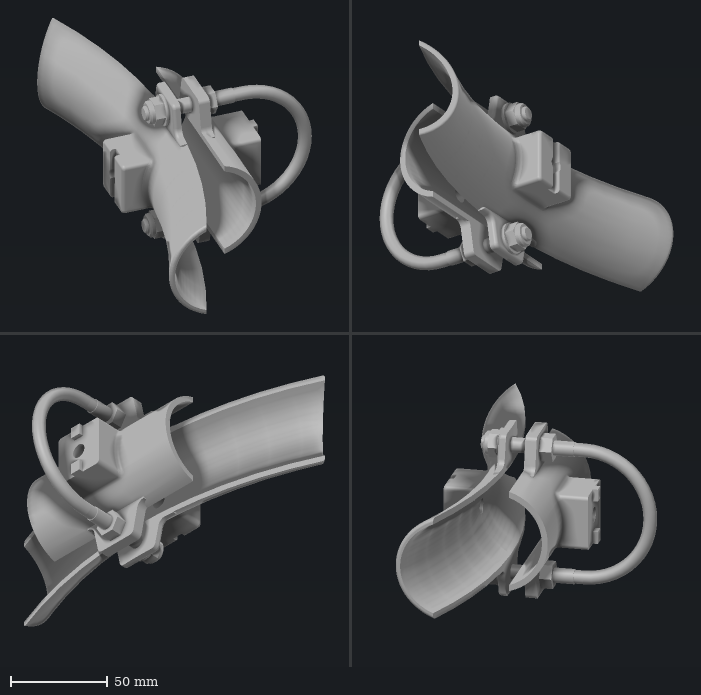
import cadquery as cq
import math

GAP = 10.0
WALL = 3.2

STRAIGHT_LENGTH = 100.0
STRAIGHT_RADIUS = 28.6
STRAIGHT_DEPTH = 20.7

BENT_RADIUS = 29.9
BENT_DEPTH = 19.5
BEND_RADIUS = 271.0
BENT_LEFT = 112.2
BENT_RIGHT = 99.9
MITRE_ANGLE = 42.5
END_FILLET = 1.6

EAR_HEIGHT = 45.0
EAR_TIP_HALF = 12.3
EAR_FLANK_ANGLE = 12.0
EAR_CORNER = 3.0
EAR_ROOT_FILLET = 4.6
STRAIGHT_FOOT_HEIGHT = 26.0
BENT_FOOT_HEIGHT = 28.4
STRAIGHT_EAR_THICKNESS = 6.1
BENT_EAR_THICKNESS = 4.6
STRAIGHT_FOOT_HALF = 20.2
BENT_FOOT_HALF = 24.9
EAR_EDGE_FILLET = 1.8

BLOCK_WIDTH = 29.5
BLOCK_HEIGHT = 30.0
BLOCK_CORNER = 2.4
BLOCK_FOOT_FILLET = 2.4
STRAIGHT_BLOCK_FACE = 38.9
BENT_BLOCK_FACE = -38.5
BLOCK_EDGE_FILLET = 1.8
KEY_WIDTH = 6.0
KEY_HEIGHT = 2.6
KEY_GAP = 16.8
KEYWAY_DEPTH = 3.2
BLOCK_HOLE = 8.2

LEG_OFFSET = 35.2
ROD_DIAMETER = 7.2
THREAD_DIAMETER = 8.0
BEND_CENTER_Y = 33.7
THREAD_START_Y = 28.6
BOLT_END_Y = -21.0
END_CHAMFER = 0.8
NUT_FLATS = 13.0
NUT_HEIGHT = 6.5
WASHER_DIAMETER = 16.8
WASHER_THICKNESS = 1.7
LOCKNUT_HEX = 5.2
LOCKNUT_COLLAR = 2.7
COLLAR_DIAMETER = 12.8
COLLAR_CHAMFER = 1.0

BENT_SWEEP = 60.0
ENVELOPE_FRONT = -100.0
OVERLAP = 1.0
NEAR = 0.1

OPEN_Y = GAP / 2


def trough(radius, depth, face_y, side):
    """Circular segment in the YZ plane, chord on y = face_y, crown towards side * Y."""
    half = math.sqrt(radius**2 - (radius - depth) ** 2)
    return (
        cq.Workplane("YZ")
        .moveTo(face_y, -half)
        .threePointArc((face_y + side * depth, 0), (face_y, half))
        .close()
    )


def straight_body(inset):
    """Solid segment of the straight trough; a positive inset gives its hollow."""
    section = trough(STRAIGHT_RADIUS - inset, STRAIGHT_DEPTH - inset, OPEN_Y, 1)
    return section.extrude(STRAIGHT_LENGTH / 2, both=True)


def bent_body(inset):
    """Segment swept around the Z-parallel bend axis, long enough to be trimmed at both ends."""
    axis_y = -OPEN_Y - BEND_RADIUS
    section = trough(BENT_RADIUS - inset, BENT_DEPTH - inset, -OPEN_Y, -1)
    body = section.revolve(BENT_SWEEP, (axis_y, 0, 0), (axis_y, 1, 0))
    return body.rotate((0, axis_y, 0), (0, axis_y, 1), -BENT_SWEEP / 2)


def bent_envelope():
    """Plan region between the mitred end and the square end of the bent saddle."""
    rim_y = -OPEN_Y - BEND_RADIUS + math.sqrt(BEND_RADIUS**2 - BENT_LEFT**2)

    def mitre_x(y):
        return -BENT_LEFT + (rim_y - y) / math.tan(math.radians(MITRE_ANGLE))

    outline = [
        (mitre_x(OPEN_Y), OPEN_Y),
        (BENT_RIGHT, OPEN_Y),
        (BENT_RIGHT, ENVELOPE_FRONT),
        (mitre_x(ENVELOPE_FRONT), ENVELOPE_FRONT),
    ]
    return cq.Workplane("XY").polyline(outline).close().extrude(EAR_HEIGHT, both=True)


def plate_corners(plate, x, z):
    """The four Y-parallel edges of a plate at (+-x, +-z)."""
    return [
        edge
        for edge in plate.edges("|Y").vals()
        if math.hypot(abs(edge.Center().x) - x, abs(edge.Center().z) - z) < NEAR
    ]


def ear_plate(foot_half, foot_height, thickness, face_y, side):
    """Plate with an ear at each end, open face on face_y, thickened towards side * Y."""
    flank_run = (EAR_HEIGHT - foot_height) * math.tan(math.radians(EAR_FLANK_ANGLE))
    root_half = EAR_TIP_HALF + flank_run
    quarter = [(foot_half, foot_height), (root_half, foot_height), (EAR_TIP_HALF, EAR_HEIGHT)]
    upper = quarter + [(-x, z) for x, z in reversed(quarter)]
    lower = [(-x, -z) for x, z in upper]
    plate = (
        cq.Workplane("XZ", origin=(0, face_y, 0))
        .polyline(upper + lower)
        .close()
        .extrude(-side * thickness)
    )
    tips = plate_corners(plate, EAR_TIP_HALF, EAR_HEIGHT)
    plate = plate.newObject(tips).fillet(EAR_CORNER)
    roots = plate_corners(plate, root_half, foot_height)
    return plate.newObject(roots).fillet(EAR_ROOT_FILLET)


def block(start_y, end_y):
    """Seat block between two Y positions, with rounded corners."""
    low = min(start_y, end_y)
    return (
        cq.Workplane("XZ", origin=(0, low, 0))
        .rect(BLOCK_WIDTH, BLOCK_HEIGHT)
        .extrude(-abs(end_y - start_y))
        .edges("|Y")
        .fillet(BLOCK_CORNER)
    )


def y_cylinder(diameter, y_from, y_to, z=0.0):
    """Cylinder along Y that starts at the larger y_from and ends at y_to."""
    return cq.Workplane("XZ", origin=(0, y_from, z)).circle(diameter / 2).extrude(y_from - y_to)


def hexagon(y_from, y_to, z):
    """Hexagonal prism along Y with its flats facing up and down."""
    across_corners = NUT_FLATS / math.cos(math.pi / 6)
    prism = cq.Workplane("XZ", origin=(0, y_from, z)).polygon(6, across_corners)
    return prism.extrude(y_from - y_to)


def foot_fillet(body, face_y):
    """Round the seam where the block stands on the crown of the saddle."""
    reach = BLOCK_HEIGHT / 2 + NEAR
    side = math.copysign(1, face_y)
    near_y = side * OPEN_Y
    far_y = face_y - side * OVERLAP
    lo = (-reach, min(near_y, far_y), -reach)
    hi = (reach, max(near_y, far_y), reach)
    seam = cq.selectors.BoxSelector(lo, hi, boundingbox=True)
    return body.edges(seam).fillet(BLOCK_FOOT_FILLET)


def straight_saddle():
    """Straight trough with ears, seat block and two keys on the block face."""
    seat_y = OPEN_Y + STRAIGHT_DEPTH / 2
    body = straight_body(0).union(block(seat_y, STRAIGHT_BLOCK_FACE))
    body = foot_fillet(body, STRAIGHT_BLOCK_FACE)
    plate = ear_plate(STRAIGHT_FOOT_HALF, STRAIGHT_FOOT_HEIGHT, STRAIGHT_EAR_THICKNESS, OPEN_Y, 1)
    body = body.union(plate).cut(straight_body(WALL))
    key_length = (BLOCK_HEIGHT - KEY_GAP) / 2
    for side in (1, -1):
        key = cq.Workplane("XY").box(KEY_WIDTH, KEY_HEIGHT + OVERLAP, key_length)
        key_y = STRAIGHT_BLOCK_FACE + (KEY_HEIGHT - OVERLAP) / 2
        body = body.union(key.translate((0, key_y, side * (KEY_GAP + key_length) / 2)))
    return body


def bent_saddle():
    """Bent trough with ears, seat block and a keyway along Z in the block face."""
    seat_y = -OPEN_Y - BENT_DEPTH / 2
    seat = block(seat_y, BENT_BLOCK_FACE).faces("<Y").edges().fillet(BLOCK_EDGE_FILLET)
    body = bent_body(0).intersect(bent_envelope())
    rims = body.faces(">X").edges("not |Z")
    rims = rims.add(body.faces("<X").edges("not |Z"))
    body = rims.fillet(END_FILLET).union(seat)
    body = foot_fillet(body, BENT_BLOCK_FACE)
    plate = ear_plate(BENT_FOOT_HALF, BENT_FOOT_HEIGHT, BENT_EAR_THICKNESS, -OPEN_Y, -1)
    plate = plate.faces("<Y").edges().fillet(EAR_EDGE_FILLET)
    bend_disk = cq.Workplane("XY", origin=(0, -OPEN_Y - BEND_RADIUS, 0)).circle(BEND_RADIUS)
    plate = plate.intersect(bend_disk.extrude(EAR_HEIGHT, both=True))
    body = body.union(plate).cut(bent_body(WALL))
    keyway = cq.Workplane("XY").box(KEY_WIDTH, 2 * KEYWAY_DEPTH, BLOCK_HEIGHT + 2 * OVERLAP)
    return body.cut(keyway.translate((0, BENT_BLOCK_FACE, 0)))


def u_bolt():
    """Thinner rod bent to a half circle, with a threaded leg at each end."""
    path = (
        cq.Workplane("YZ")
        .moveTo(THREAD_START_Y - OVERLAP, LEG_OFFSET)
        .lineTo(BEND_CENTER_Y, LEG_OFFSET)
        .threePointArc((BEND_CENTER_Y + LEG_OFFSET, 0), (BEND_CENTER_Y, -LEG_OFFSET))
        .lineTo(THREAD_START_Y - OVERLAP, -LEG_OFFSET)
    )
    bolt = (
        cq.Workplane("XZ", origin=(0, THREAD_START_Y - OVERLAP, LEG_OFFSET))
        .circle(ROD_DIAMETER / 2)
        .sweep(path)
    )
    for z in (LEG_OFFSET, -LEG_OFFSET):
        leg = y_cylinder(THREAD_DIAMETER, THREAD_START_Y, BOLT_END_Y, z)
        bolt = bolt.union(leg.faces("<Y").chamfer(END_CHAMFER))
    return bolt


def hardware(z):
    """Plain nut behind the straight saddle, washer and lock nut in front of the bent one."""
    nut_y = OPEN_Y + STRAIGHT_EAR_THICKNESS
    washer_y = -OPEN_Y - BENT_EAR_THICKNESS
    locknut_y = washer_y - WASHER_THICKNESS
    collar_y = locknut_y - LOCKNUT_HEX
    parts = hexagon(nut_y + NUT_HEIGHT, nut_y, z)
    parts = parts.union(y_cylinder(WASHER_DIAMETER, washer_y, locknut_y, z))
    parts = parts.union(hexagon(locknut_y, collar_y, z))
    collar = y_cylinder(COLLAR_DIAMETER, collar_y, collar_y - LOCKNUT_COLLAR, z)
    return parts.union(collar.faces("<Y").chamfer(COLLAR_CHAMFER))


block_bore = y_cylinder(BLOCK_HOLE, STRAIGHT_BLOCK_FACE + KEY_HEIGHT, BENT_BLOCK_FACE)
saddles = straight_saddle().union(bent_saddle()).cut(block_bore)
result = saddles.union(u_bolt())
for leg_z in (LEG_OFFSET, -LEG_OFFSET):
    result = result.union(hardware(leg_z))